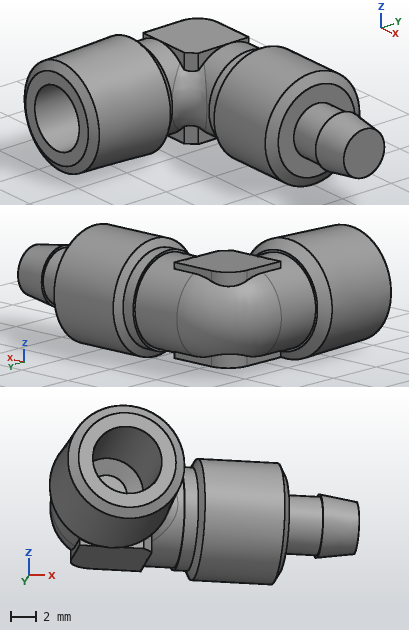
import cadquery as cq
import math


TUBE_RADIUS = 7.9 / 2
BEND_OUTER_RADIUS = 5.9
BEND_CENTER = BEND_OUTER_RADIUS - TUBE_RADIUS
INNER_FILLET = 2.0
FILLET_HALF_HEIGHT = 3.0

PAD_SIZE = 6.0
PAD_CORNER_RADIUS = 2.0
PAD_OUTER_OFFSET = 2.0
PAD_CHAMFER = 0.8

BODY_START = 6.0
LEG_END = 14.5
SHOULDER_LENGTH = 0.85
BODY_RADIUS = 9.9 / 2
BODY_TAPER = 1 / 32
SHOULDER_RADIUS = 8.3 / 2
TIP_CHAMFER_LENGTH = 0.5
TIP_RADIUS = TUBE_RADIUS

BORE_RADIUS = 5.6 / 2
BORE_FLOOR_RADIUS = 3.2 / 2
BORE_DEPTH = 8.5
BORE_CONE_ANGLE = 120

COLLAR_START = 6.5
COLLAR_RADIUS = 8.3 / 2
NUT_START = 7.6
NUT_END = 15.0
NUT_RADIUS = 9.73 / 2
NUT_CHAMFER_ANGLE = 30
NUT_FRONT_RADIUS = 3.95
BARB_NECK_RADIUS = 4.7 / 2
BARB_START = 18.0
BARB_RADIUS = 5.1 / 2
BARB_TIP_RADIUS = 4.2 / 2
ARM_END = 21.0


def make_leg_tube():
    return (
        cq.Workplane("XZ", origin=(0, -BEND_CENTER, 0))
        .circle(TUBE_RADIUS)
        .extrude(BODY_START - BEND_CENTER)
    )


def make_arm_tube():
    return (
        cq.Workplane("YZ", origin=(BEND_CENTER, 0, 0))
        .circle(TUBE_RADIUS)
        .extrude(COLLAR_START - BEND_CENTER)
    )


def make_bend():
    """Quarter turn of the part of the tube section that lies outside the bend axis."""
    half_chord = math.sqrt(TUBE_RADIUS**2 - BEND_CENTER**2)
    return (
        cq.Workplane("XZ", origin=(0, -BEND_CENTER, 0))
        .moveTo(BEND_CENTER, half_chord)
        .threePointArc((-TUBE_RADIUS, 0), (BEND_CENTER, -half_chord))
        .close()
        .revolve(90, (BEND_CENTER, 1, 0), (BEND_CENTER, 0, 0))
    )


def make_inner_corner():
    """Middle slab of the two tubes with a constant-radius fillet where they meet.

    The slab faces end the fillet before it fades out at the tube crowns.
    """
    slab_size = 2 * COLLAR_START
    slab = cq.Workplane("XY").box(slab_size, slab_size, 2 * FILLET_HALF_HEIGHT)
    tubes = make_leg_tube().union(make_arm_tube()).intersect(slab)
    miter = cq.selectors.BoxSelector(
        (BEND_CENTER, -BODY_START, -TUBE_RADIUS),
        (BODY_START, -BEND_CENTER, TUBE_RADIUS),
    )
    return tubes.edges("%ELLIPSE").edges(miter).fillet(INNER_FILLET)


def make_elbow():
    return make_leg_tube().union(make_arm_tube()).union(make_bend()).union(make_inner_corner())


def make_pads():
    inner = PAD_SIZE - PAD_OUTER_OFFSET
    center = inner - PAD_SIZE / 2
    return (
        cq.Workplane("XY")
        .center(center, -center)
        .rect(PAD_SIZE, PAD_SIZE)
        .extrude(TUBE_RADIUS, both=True)
        .edges("|Z and <X and >Y")
        .fillet(PAD_CORNER_RADIUS)
        .edges("|Z and >X and <Y")
        .chamfer(PAD_CHAMFER)
    )


def make_leg_body():
    taper_start = BODY_START + SHOULDER_LENGTH
    taper_end = LEG_END - TIP_CHAMFER_LENGTH
    taper_end_radius = BODY_RADIUS - BODY_TAPER * (taper_end - taper_start)
    return (
        cq.Workplane("XY")
        .moveTo(0, -BODY_START)
        .lineTo(SHOULDER_RADIUS, -BODY_START)
        .lineTo(BODY_RADIUS, -taper_start)
        .lineTo(taper_end_radius, -taper_end)
        .lineTo(TIP_RADIUS, -LEG_END)
        .lineTo(0, -LEG_END)
        .close()
        .revolve(360, (0, 0, 0), (0, 1, 0))
    )


def make_bore():
    cone_length = (BORE_RADIUS - BORE_FLOOR_RADIUS) / math.tan(math.radians(BORE_CONE_ANGLE / 2))
    cone_start = LEG_END - BORE_DEPTH
    floor = cone_start - cone_length
    return (
        cq.Workplane("XY")
        .moveTo(0, -LEG_END)
        .lineTo(BORE_RADIUS, -LEG_END)
        .lineTo(BORE_RADIUS, -cone_start)
        .lineTo(BORE_FLOOR_RADIUS, -floor)
        .lineTo(0, -floor)
        .close()
        .revolve(360, (0, 0, 0), (0, 1, 0))
    )


def make_hose_end():
    slope = math.tan(math.radians(NUT_CHAMFER_ANGLE))
    back_chamfer = (NUT_RADIUS - COLLAR_RADIUS) * slope
    front_chamfer = (NUT_RADIUS - NUT_FRONT_RADIUS) * slope
    return (
        cq.Workplane("XY")
        .moveTo(COLLAR_START, 0)
        .lineTo(COLLAR_START, COLLAR_RADIUS)
        .lineTo(NUT_START, COLLAR_RADIUS)
        .lineTo(NUT_START + back_chamfer, NUT_RADIUS)
        .lineTo(NUT_END - front_chamfer, NUT_RADIUS)
        .lineTo(NUT_END, NUT_FRONT_RADIUS)
        .lineTo(NUT_END, BARB_NECK_RADIUS)
        .lineTo(BARB_START, BARB_NECK_RADIUS)
        .lineTo(BARB_START, BARB_RADIUS)
        .lineTo(ARM_END, BARB_TIP_RADIUS)
        .lineTo(ARM_END, 0)
        .close()
        .revolve(360, (0, 0, 0), (1, 0, 0))
    )


result = (
    make_elbow()
    .union(make_pads())
    .union(make_leg_body())
    .union(make_hose_end())
    .cut(make_bore())
)